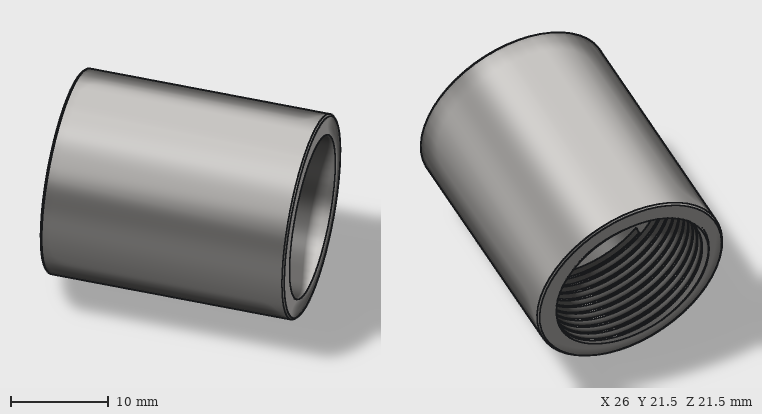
import cadquery as cq
import math

length = 26.0
outer_diameter = 21.5
bore_diameter = 17.2
edge_chamfer = 0.2
bore_radius = bore_diameter / 2

pitch = 1.0
thread_turns = 11
start_lead = pitch
start_angle = -45.0
triangle_height = pitch * math.sqrt(3) / 2
thread_depth = triangle_height * 5 / 8
root_width = pitch / 8
mouth_width = pitch * 3 / 4
mouth_overlap = 0.1


def sleeve():
    """Plain tube standing on the XY plane, outer rims chamfered."""
    body = cq.Workplane("XY").circle(outer_diameter / 2).extrude(length)
    body = body.faces("<Z or >Z").edges().chamfer(edge_chamfer)
    bore = cq.Workplane("XY").circle(bore_radius).extrude(length)
    return body.cut(bore)


def thread_groove():
    """Trapezoidal groove swept along a helix about Z, starting below the XY plane."""
    flank_run = (mouth_width - root_width) / 2 / thread_depth
    inner_radius = bore_radius - mouth_overlap
    inner_half_width = mouth_width / 2 + mouth_overlap * flank_run
    root_radius = bore_radius + thread_depth
    root_half_width = root_width / 2

    helix = cq.Wire.makeHelix(pitch, pitch * thread_turns, bore_radius, lefthand=True)
    profile = cq.Workplane("XZ").polyline([
        (inner_radius, -inner_half_width),
        (root_radius, -root_half_width),
        (root_radius, root_half_width),
        (inner_radius, inner_half_width),
    ]).close()
    groove = profile.sweep(cq.Workplane(obj=helix), isFrenet=True)
    groove = groove.rotate((0, 0, 0), (0, 0, 1), start_angle)
    return groove.translate((0, 0, -start_lead))


upright_sleeve = sleeve().cut(thread_groove())

result = upright_sleeve.translate((0, 0, -length / 2)).rotate((0, 0, 0), (0, 1, 0), 90)